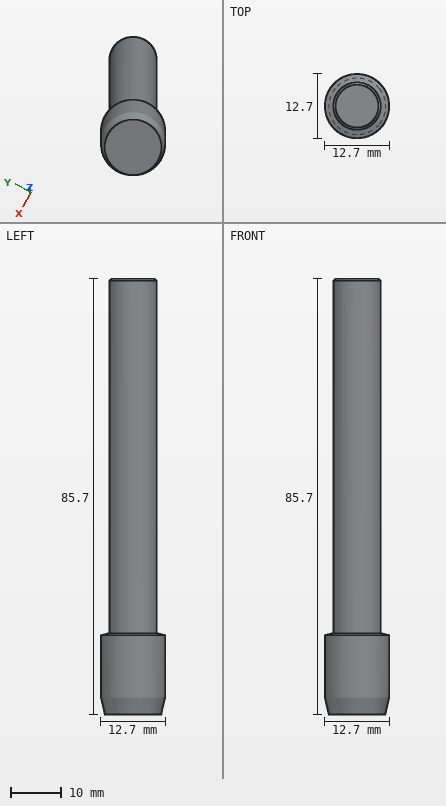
import cadquery as cq

TOTAL_LENGTH = 85.7

PLUG_DIAMETER = 12.7
LEAD_DIAMETER = 11.1
LEAD_HEIGHT = 3.3
SHOULDER_HEIGHT = 15.6
CONE_RISE = 0.4

ROD_DIAMETER = 9.3
ROD_TIP_DIAMETER = 8.4
ROD_CHAMFER_HEIGHT = 0.4

plug_radius = PLUG_DIAMETER / 2
lead_radius = LEAD_DIAMETER / 2
rod_radius = ROD_DIAMETER / 2
rod_tip_radius = ROD_TIP_DIAMETER / 2
plug_height = SHOULDER_HEIGHT + CONE_RISE


def make_plug():
    """Turned plug whose flat top carries the rod."""
    return (
        cq.Workplane("XZ")
        .lineTo(lead_radius, 0)
        .lineTo(plug_radius, LEAD_HEIGHT)
        .lineTo(plug_radius, SHOULDER_HEIGHT)
        .lineTo(rod_radius, plug_height)
        .lineTo(0, plug_height)
        .close()
        .revolve(360, (0, 0), (0, 1))
    )


def make_rod():
    """Turned rod with a small chamfer around its free end."""
    return (
        cq.Workplane("XZ")
        .moveTo(0, plug_height)
        .lineTo(rod_radius, plug_height)
        .lineTo(rod_radius, TOTAL_LENGTH - ROD_CHAMFER_HEIGHT)
        .lineTo(rod_tip_radius, TOTAL_LENGTH)
        .lineTo(0, TOTAL_LENGTH)
        .close()
        .revolve(360, (0, 0), (0, 1))
    )


plug = make_plug()
rod = make_rod()
result = cq.Compound.makeCompound([plug.val(), rod.val()])